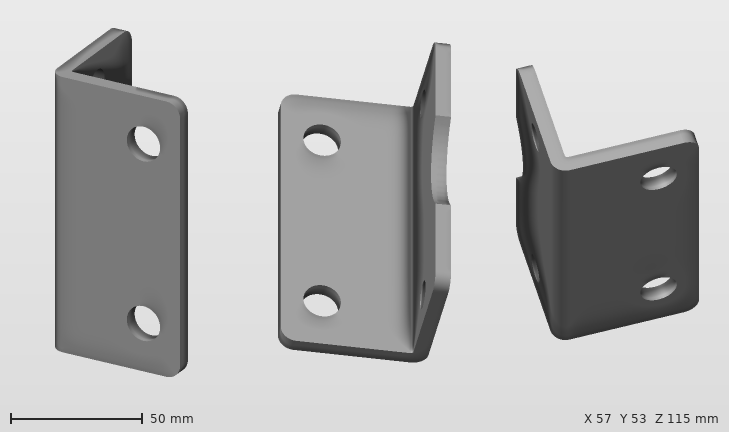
import cadquery as cq

width = 57.0
depth = 53.0
height = 115.0
thickness = 6.0
middle_z = height / 2

outer_bend_radius = 6.0
inner_bend_radius = 1.0
corner_radius = 6.0

front_hole_diameter = 14.5
front_hole_spacing = 75.0
front_hole_x = 41.0

side_hole_diameter = 11.0
side_hole_spacing = 89.0
side_hole_y = depth / 2

notch_radius = 27.0
notch_depth = 9.5
notch_center_y = depth - notch_depth + notch_radius


def bent_plate():
    """L-shaped plate with a rounded bend along Z and rounded free corners."""
    plate = (
        cq.Workplane("XY")
        .polyline([
            (0, 0),
            (width, 0),
            (width, thickness),
            (thickness, thickness),
            (thickness, depth),
            (0, depth),
        ])
        .close()
        .extrude(height)
    )
    plate = plate.edges(cq.selectors.NearestToPointSelector((0, 0, middle_z))).fillet(outer_bend_radius)
    inner_bend = cq.selectors.NearestToPointSelector((thickness, thickness, middle_z))
    plate = plate.edges(inner_bend).fillet(inner_bend_radius)
    plate = plate.faces(">X").edges("|Y").fillet(corner_radius)
    return plate.faces(">Y").edges("|X").fillet(corner_radius)


def front_leg_cutter(x, z, diameter):
    """Cylinder along Y that passes through the front leg only."""
    return cq.Workplane("XZ").center(x, z).circle(diameter / 2).extrude(-thickness)


def side_leg_cutter(y, z, diameter):
    """Cylinder along X that passes through the side leg only."""
    return cq.Workplane("YZ").center(y, z).circle(diameter / 2).extrude(thickness)


result = bent_plate()

for side in (-1, 1):
    front_hole_z = middle_z + side * front_hole_spacing / 2
    result = result.cut(front_leg_cutter(front_hole_x, front_hole_z, front_hole_diameter))
    side_hole_z = middle_z + side * side_hole_spacing / 2
    result = result.cut(side_leg_cutter(side_hole_y, side_hole_z, side_hole_diameter))

result = result.cut(side_leg_cutter(notch_center_y, middle_z, 2 * notch_radius))